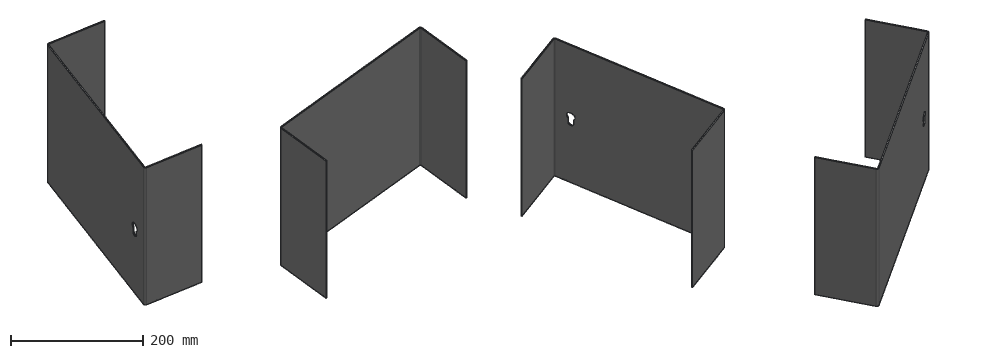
import cadquery as cq

width = 300.0
depth = 100.0
height = 300.0
sheet = 2.0
outer_bend_radius = 3.5
inner_bend_radius = outer_bend_radius - sheet

keyhole_x = 119.5
keyhole_z = -5.5
keyhole_diameter = 15.0
slot_width = 10.0
slot_drop = 14.7

front_y = -depth / 2


def folded_sheet():
    """Channel open toward +Y, with concentric inner and outer bends."""
    outer = cq.Workplane("XY").box(width, depth, height)
    outer = outer.edges("|Z and <Y").fillet(outer_bend_radius)
    cavity = cq.Workplane("XY").box(width - 2 * sheet, depth, height)
    cavity = cavity.edges("|Z and <Y").fillet(inner_bend_radius)
    return outer.cut(cavity.translate((0, sheet, 0)))


def keyhole_cutter():
    """Keyhole outline extruded through the front panel only."""
    cut_depth = 2 * sheet
    plane = cq.Workplane("XZ", origin=(keyhole_x, front_y + cut_depth, keyhole_z))
    opening = plane.circle(keyhole_diameter / 2).extrude(2 * cut_depth)
    slot = (
        plane.center(0, -slot_drop / 2)
        .slot2D(slot_drop + slot_width, slot_width, 90)
        .extrude(2 * cut_depth)
    )
    return opening.union(slot)


result = folded_sheet().cut(keyhole_cutter())